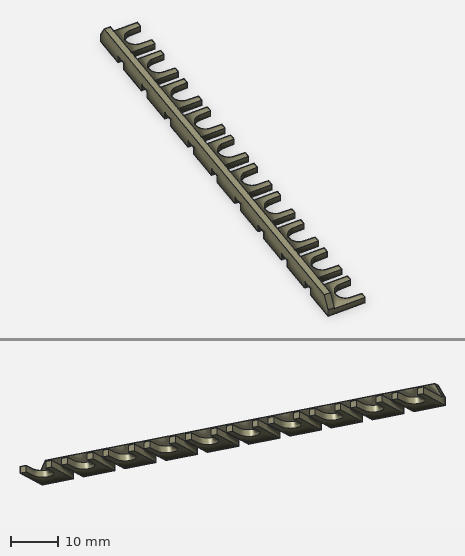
import cadquery as cq

length = 100.0
depth = 9.0
height = 4.8

rail_thickness = 1.5
rail_end_height = 1.8
end_slope_run = 1.7

tooth_count = 10
tooth_width = 7.8
tooth_thickness = 1.5
tooth_pitch = (length - tooth_width) / (tooth_count - 1)

gap_width = tooth_pitch - tooth_width
gap_height = rail_end_height

cradle_width = 4.7
cradle_mouth_width = 4.9
cradle_depth = 5.0
cradle_radius = cradle_width / 2
cradle_bottom_y = depth - cradle_depth
cradle_center_y = cradle_bottom_y + cradle_radius


def make_rail():
    """Upright wall with both upper corners cut off at a slope."""
    return (
        cq.Workplane("XZ")
        .moveTo(0, 0)
        .lineTo(length, 0)
        .lineTo(length, rail_end_height)
        .lineTo(length - end_slope_run, height)
        .lineTo(end_slope_run, height)
        .lineTo(0, rail_end_height)
        .close()
        .extrude(-rail_thickness)
    )


def make_plate():
    """Flat plate from which the teeth are cut."""
    return cq.Workplane("XY").box(length, depth, tooth_thickness, centered=False)


def make_gap(index):
    """Cutter for the gap after the given tooth, through the full depth of the strip."""
    left = index * tooth_pitch + tooth_width
    gap = cq.Workplane("XY").box(gap_width, depth, gap_height, centered=False)
    return gap.translate((left, 0, 0))


def make_cradle(index):
    """Cutter for the open slot in the middle of the given tooth."""
    center_x = index * tooth_pitch + tooth_width / 2
    half_mouth = cradle_mouth_width / 2
    return (
        cq.Workplane("XY")
        .moveTo(center_x - half_mouth, depth)
        .lineTo(center_x - cradle_radius, cradle_center_y)
        .threePointArc((center_x, cradle_bottom_y), (center_x + cradle_radius, cradle_center_y))
        .lineTo(center_x + half_mouth, depth)
        .close()
        .extrude(tooth_thickness)
    )


result = make_plate().union(make_rail())
for tooth in range(tooth_count):
    result = result.cut(make_cradle(tooth))
for tooth in range(tooth_count - 1):
    result = result.cut(make_gap(tooth))